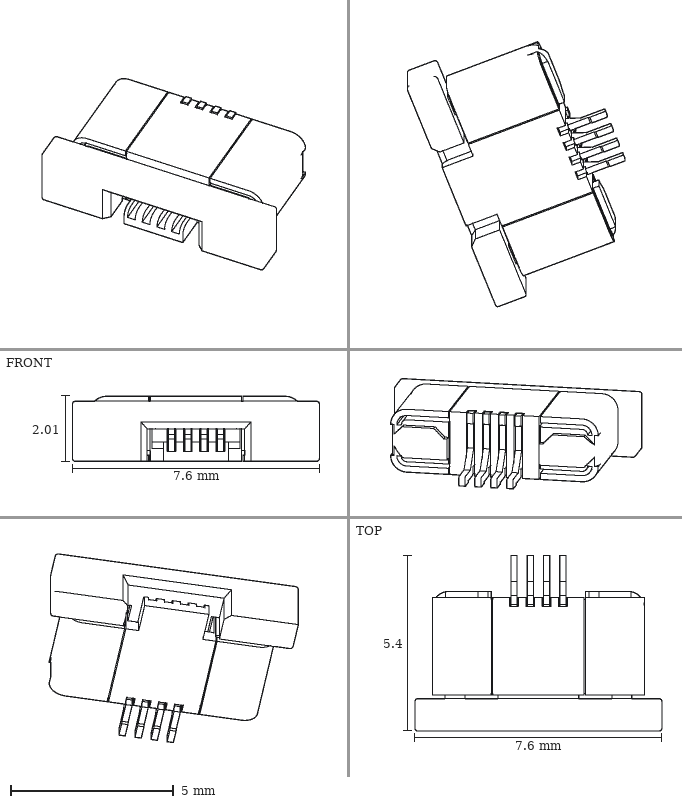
import cadquery as cq


SIDES = (-1, 1)

slider_width = 7.6
slider_depth = 1.0
slider_height = 1.855
slider_round = 0.1

window_half = 1.5
window_height = 1.0
window_flare_side = 0.2
window_flare_top = 0.21
window_flare_depth = 0.2

arm_top = 1.35
tongue_half = 1.25
tongue_bottom = window_height
tongue_end = 1.825
arm_inner = 2.26
arm_outer = 2.87
arm_bottom = 0.79
arm_end = 3.04
arm_root_drop = 0.16
arm_root_length = 0.08

housing_front = 1.11
housing_back = 4.11
housing_height = 2.01
housing_half = 3.26
housing_round = 0.51
middle_bottom = housing_round
middle_top = housing_height - housing_round

tab_back = 4.3
tab_inner = 1.445
tab_slope = 0.31
tab_flat_inner = 1.86
tab_flat_outer = 2.85

slit_inner = 1.405
slit_outer = 1.445
plate_thickness = 0.2
channel_height = 0.14
core_front = 1.155
core_back = 4.05
plate_inner_round = housing_round - plate_thickness
core_round = plate_inner_round - channel_height
core_bottom = plate_thickness + channel_height
core_top = housing_height - core_bottom
round_centre = housing_half - housing_round

cavity_half = 1.35
cavity_floor = 0.59
cavity_end = 2.28
cavity_lead_in = 0.2
ledge_half = 1.0
ledge_front = 0.08
rib_round = 0.28

contact_count = 4
contact_pitch = 0.5
contact_width = 0.2
slot_width = 0.26
slot_floor = 0.31
slot_top = 1.14
notch_front = 3.84
contact_places = [(i - (contact_count - 1) / 2) * contact_pitch for i in range(contact_count)]

tail_end = 5.4
tail_top = slot_floor
tail_round = 0.06
foot_front = 4.9
foot_step = 0.05
tail_bend = 4.6
stem_front = 3.9
stem_back = 4.09
head_back = 4.165
head_bottom = 1.67
slope_top = 0.88
beam_front = 1.65
nose_front = 1.54
nose_low = 0.51
nose_high = 0.69
nose_reach = 0.03
bump_start = 1.855
bump_base = 0.835
bump_middle = 2.32
bump_top = 1.04
bump_end = 2 * bump_middle - bump_start


def block(x_range, y_range, z_range):
    """Box spanning the given ranges."""
    x0, x1 = x_range
    y0, y1 = y_range
    z0, z1 = z_range
    return cq.Workplane("XY").box(x1 - x0, y1 - y0, z1 - z0, centered=False).translate((x0, y0, z0))


def mirrored_range(side, inner, outer):
    """X range between two distances from the middle, on one side."""
    return sorted((side * inner, side * outer))


def front_plane(y):
    """Plane facing the front at a given Y, with X right, Z up and extrusion toward -Y."""
    return cq.Workplane("XZ", origin=(0, y, 0))


def side_profile(points, x_start, x_end):
    """Outline of (Y, Z) points swept along X."""
    return cq.Workplane("YZ", origin=(x_start, 0, 0)).polyline(points).close().extrude(x_end - x_start)


def slider_bar():
    half = slider_width / 2
    bar = block((-half, half), (0, slider_depth), (0, slider_height))
    return bar.edges("|Z or >Z or (<Z and |Y)").fillet(slider_round)


def slider_window():
    opening = block((-window_half, window_half), (0, slider_depth), (0, window_height))
    flare_half = window_half + window_flare_side
    flare_height = window_height + window_flare_top
    flare = (
        front_plane(window_flare_depth)
        .center(0, window_height / 2)
        .rect(2 * window_half, window_height)
        .workplane(offset=window_flare_depth)
        .center(0, window_flare_top / 2)
        .rect(2 * flare_half, flare_height)
        .loft()
    )
    return opening.union(flare)


def slider_tongue():
    return block((-tongue_half, tongue_half), (slider_depth, tongue_end), (tongue_bottom, arm_top))


def slider_arm(side):
    x_start, x_end = mirrored_range(side, arm_inner, arm_outer)
    outline = [
        (slider_depth, arm_top),
        (arm_end, arm_top),
        (arm_end, arm_bottom),
        (slider_depth + arm_root_length, arm_bottom),
        (slider_depth, arm_bottom - arm_root_drop),
    ]
    return side_profile(outline, x_start, x_end)


def make_slider():
    body = slider_bar().cut(slider_window()).union(slider_tongue())
    for side in SIDES:
        body = body.union(slider_arm(side))
    return body


def rounded_slab(half, bottom, top, radius, front, back):
    """Slab with four rounded long edges, centred on X."""
    slab = block((-half, half), (front, back), (bottom, top))
    return slab.edges("|Y").fillet(radius)


def middle_layer():
    """Plan shape of the middle layer out to the tabs, with rounded rear corners."""
    layer = block((-housing_half, housing_half), (housing_front, tab_back), (middle_bottom, middle_top))
    return layer.edges("|Z and >Y").fillet(housing_round)


def rear_tab(side):
    """Tab with sloped flanks, before its rear corner is rounded."""
    flank = housing_half - tab_flat_outer
    outline = [
        (tab_inner, middle_bottom),
        (tab_inner, middle_top - tab_slope),
        (tab_flat_inner - tab_slope, middle_top - tab_slope),
        (tab_flat_inner, middle_top),
        (tab_flat_outer, middle_top),
        (housing_half, middle_top - flank),
        (housing_half, middle_bottom + flank),
        (tab_flat_outer, middle_bottom),
    ]
    points = [(side * x, z) for x, z in outline]
    return front_plane(tab_back).polyline(points).close().extrude(tab_back - housing_back)


def housing_shell():
    shell = rounded_slab(housing_half, 0, housing_height, housing_round, housing_front, housing_back)
    layer = middle_layer()
    full_width = (-housing_half, housing_half)
    square_layer = block(full_width, (housing_front, housing_back), (middle_bottom, middle_top))
    shell = shell.cut(square_layer.cut(layer))
    for side in SIDES:
        shell = shell.union(rear_tab(side).intersect(layer))
    return shell


def plate_channels():
    """Channels inside the four wing plates, following the rounded edges."""
    outer = rounded_slab(
        housing_half - plate_thickness,
        plate_thickness,
        housing_height - plate_thickness,
        plate_inner_round,
        housing_front,
        housing_back,
    )
    core_half = round_centre + core_round
    core = rounded_slab(core_half, core_bottom, core_top, core_round, housing_front, housing_back)
    centre = block((-slit_inner, slit_inner), (housing_front, housing_back), (0, housing_height))
    sides = block((-housing_half, housing_half), (housing_front, housing_back), (middle_bottom, middle_top))
    return outer.cut(core).cut(centre).cut(sides)


def wing_slits(side):
    """Slits between the centre panel and the wings, and the set-back front and back of the core."""
    slit_x = mirrored_range(side, slit_inner, slit_outer)
    recess_x = mirrored_range(side, slit_inner, round_centre)
    slit = block(slit_x, (housing_front, housing_back), (0, housing_height))
    web = block(slit_x, (core_front, core_back), (core_bottom, core_top))
    front_recess = block(recess_x, (housing_front, core_front), (core_bottom, core_top))
    return slit.cut(web).union(front_recess)


def cable_cavity():
    cavity = block((-cavity_half, cavity_half), (housing_front, cavity_end), (cavity_floor, arm_top))
    lead_in = [
        (housing_front, cavity_floor),
        (housing_front, cavity_floor - cavity_lead_in),
        (housing_front + cavity_lead_in, cavity_floor),
    ]
    return cavity.union(side_profile(lead_in, -cavity_half, cavity_half))


def front_ledge():
    ledge_back = housing_front + cavity_lead_in
    ledge = block((-ledge_half, ledge_half), (ledge_front, ledge_back), (0, cavity_floor))
    return ledge.edges("<Y and >Z").fillet(rib_round)


def contact_slot(x):
    x_range = (x - slot_width / 2, x + slot_width / 2)
    slot = block(x_range, (ledge_front, housing_back), (slot_floor, slot_top))
    notch = block(x_range, (notch_front, housing_back), (0, housing_height))
    return slot.union(notch)


def arm_pocket(side):
    x_range = mirrored_range(side, arm_inner, arm_outer)
    return block(x_range, (housing_front, arm_end), (arm_bottom, arm_top))


def make_housing():
    body = housing_shell().cut(plate_channels()).cut(cable_cavity()).union(front_ledge())
    for side in SIDES:
        body = body.cut(wing_slits(side)).cut(arm_pocket(side))
    for x in contact_places:
        body = body.cut(contact_slot(x))
    return body


def make_contact(x):
    """Bent contact: solder tail, upright stem with a head, and a beam with a rounded nose and bump."""
    profile = (
        cq.Workplane("YZ", origin=(x - contact_width / 2, 0, 0))
        .moveTo(tail_end, 0)
        .lineTo(tail_end, tail_top)
        .lineTo(tail_bend, tail_top)
        .lineTo(stem_back, slope_top)
        .lineTo(stem_back, head_bottom)
        .lineTo(head_back, head_bottom)
        .lineTo(head_back, housing_height)
        .lineTo(stem_front, housing_height)
        .lineTo(stem_front, bump_base)
        .lineTo(bump_end, bump_base)
        .threePointArc((bump_middle, bump_top), (bump_start, bump_base))
        .lineTo(nose_front, nose_high)
        .threePointArc((nose_front - nose_reach, (nose_low + nose_high) / 2), (nose_front, nose_low))
        .lineTo(beam_front, slot_floor)
        .lineTo(head_back, slot_floor)
        .lineTo(head_back, foot_step)
        .lineTo(foot_front - foot_step, foot_step)
        .lineTo(foot_front, 0)
        .close()
    )
    return profile.extrude(contact_width).edges("|X and >Y").fillet(tail_round)


slider = make_slider()
housing = make_housing()
contacts = [make_contact(x) for x in contact_places]

contact_solids = [contact.val() for contact in contacts]
result = cq.Compound.makeCompound([slider.val(), housing.val(), *contact_solids])